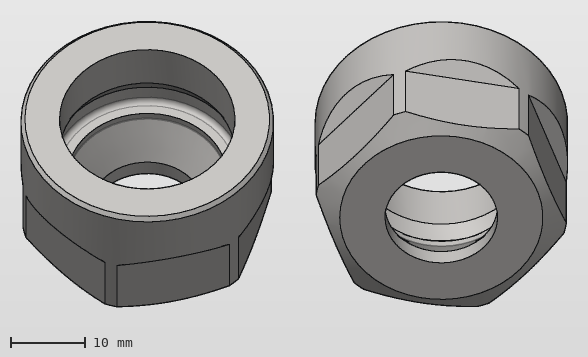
import cadquery as cq
import math

height = 21.7
outer_radius = 16.85
top_chamfer = 0.55
bottom_face_radius = 13.55
bottom_bevel_angle = 30.0

flat_count = 6
across_flats = 30.0
flat_top = 11.0
runout_angle = 45.0
cutter_margin = 3.37

bore_radius = 23.4 / 2
relief_radius = 25.5 / 2
seat_radius = 21.3 / 2
exit_radius = 15.0 / 2
bore_depth = 7.3
relief_taper_depth = 9.6
shoulder_depth = 12.6
shoulder_fillet = 0.8
seat_depth = 13.7
seat_half_angle = 30.0
seat_blend_radius = 0.35


def make_body():
    bevel_height = (outer_radius - bottom_face_radius) * math.tan(math.radians(bottom_bevel_angle))
    return (
        cq.Workplane("XZ")
        .moveTo(0, 0)
        .lineTo(bottom_face_radius, 0)
        .lineTo(outer_radius, bevel_height)
        .lineTo(outer_radius, height - top_chamfer)
        .lineTo(outer_radius - top_chamfer, height)
        .lineTo(0, height)
        .close()
        .revolve(360, (0, 0, 0), (0, 1, 0))
    )


def make_flat_cutter():
    """Cutter for the flat on the +Y side, with a sloped run-out at its top."""
    apothem = across_flats / 2
    reach = outer_radius + cutter_margin - apothem
    runout_rise = reach * math.tan(math.radians(runout_angle))
    return (
        cq.Workplane("YZ")
        .moveTo(apothem, 0)
        .lineTo(apothem + reach, 0)
        .lineTo(apothem + reach, flat_top + runout_rise)
        .lineTo(apothem, flat_top)
        .close()
        .extrude(outer_radius, both=True)
    )


def make_bore():
    """Stepped bore, with a small blend tangent to the seat wall and the cone."""
    cone_angle = math.radians(seat_half_angle)
    cone_depth = (seat_radius - exit_radius) / math.tan(cone_angle)
    fillet_start = height - shoulder_depth + shoulder_fillet
    fillet_mid_offset = shoulder_fillet * (1 - math.sqrt(0.5))
    seat_bottom = height - seat_depth
    blend_start = seat_bottom + seat_blend_radius * math.tan(cone_angle / 2)

    def blend_point(turn):
        return (
            seat_radius - seat_blend_radius * (1 - math.cos(turn)),
            blend_start - seat_blend_radius * math.sin(turn),
        )

    return (
        cq.Workplane("XZ")
        .moveTo(0, height)
        .lineTo(bore_radius, height)
        .lineTo(bore_radius, height - bore_depth)
        .lineTo(relief_radius, height - relief_taper_depth)
        .lineTo(relief_radius, fillet_start)
        .threePointArc(
            (relief_radius - fillet_mid_offset, height - shoulder_depth + fillet_mid_offset),
            (relief_radius - shoulder_fillet, height - shoulder_depth),
        )
        .lineTo(seat_radius, height - shoulder_depth)
        .lineTo(seat_radius, blend_start)
        .threePointArc(blend_point(cone_angle / 2), blend_point(cone_angle))
        .lineTo(exit_radius, seat_bottom - cone_depth)
        .lineTo(exit_radius, 0)
        .lineTo(0, 0)
        .close()
        .revolve(360, (0, 0, 0), (0, 1, 0))
    )


result = make_body()
flat_cutter = make_flat_cutter()
for index in range(flat_count):
    result = result.cut(flat_cutter.rotate((0, 0, 0), (0, 0, 1), index * 360 / flat_count))
result = result.cut(make_bore())